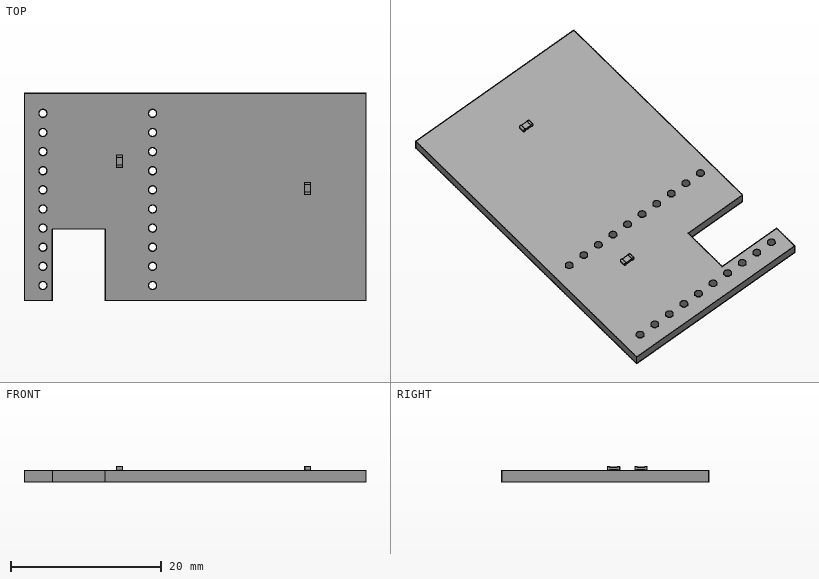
import cadquery as cq

BOARD_LENGTH = 45.3
BOARD_WIDTH = 27.5
TOTAL_HEIGHT = 2.1
CHIP_HEIGHT = 0.5
BOARD_THICKNESS = TOTAL_HEIGHT - CHIP_HEIGHT

NOTCH_LEFT = 3.7
NOTCH_WIDTH = 6.98
NOTCH_DEPTH = 9.45

HOLE_DIAMETER = 1.05
HOLE_PITCH = 2.55
HOLES_PER_COLUMN = 10
FIRST_HOLE_Y = 2.0
HOLE_COLUMNS_X = (2.45, 17.0)

CHIP_LENGTH = 1.65
CHIP_WIDTH = 0.8
CAP_LENGTH = 0.3
CAP_STEP = 0.1
CAP_FILLET = 0.1
CHIP_CENTRES = ((12.6, 18.5), (37.55, 14.85))


def make_board():
    board = cq.Workplane("XY").box(BOARD_LENGTH, BOARD_WIDTH, BOARD_THICKNESS, centered=False)
    notch = (
        cq.Workplane("XY")
        .box(NOTCH_WIDTH, NOTCH_DEPTH, BOARD_THICKNESS, centered=False)
        .translate((NOTCH_LEFT, 0, 0))
    )
    hole_centres = [
        (x, FIRST_HOLE_Y + row * HOLE_PITCH)
        for x in HOLE_COLUMNS_X
        for row in range(HOLES_PER_COLUMN)
    ]
    holes = (
        cq.Workplane("XY")
        .pushPoints(hole_centres)
        .circle(HOLE_DIAMETER / 2)
        .extrude(BOARD_THICKNESS)
    )
    return board.cut(notch).cut(holes)


def make_chip(x, y):
    middle = cq.Workplane("XY").box(
        CHIP_WIDTH,
        CHIP_LENGTH - 2 * CAP_LENGTH,
        CHIP_HEIGHT - 2 * CAP_STEP,
    )
    cap_offset = (CHIP_LENGTH - CAP_LENGTH) / 2
    caps = (
        cq.Workplane("XY")
        .pushPoints([(0, -cap_offset), (0, cap_offset)])
        .box(CHIP_WIDTH, CAP_LENGTH, CHIP_HEIGHT)
        .edges("|X")
        .fillet(CAP_FILLET)
    )
    return middle.union(caps).translate((x, y, BOARD_THICKNESS + CHIP_HEIGHT / 2))


board = make_board()
chips = [make_chip(x, y) for x, y in CHIP_CENTRES]

result = cq.Compound.makeCompound([board.val(), *[chip.val() for chip in chips]])